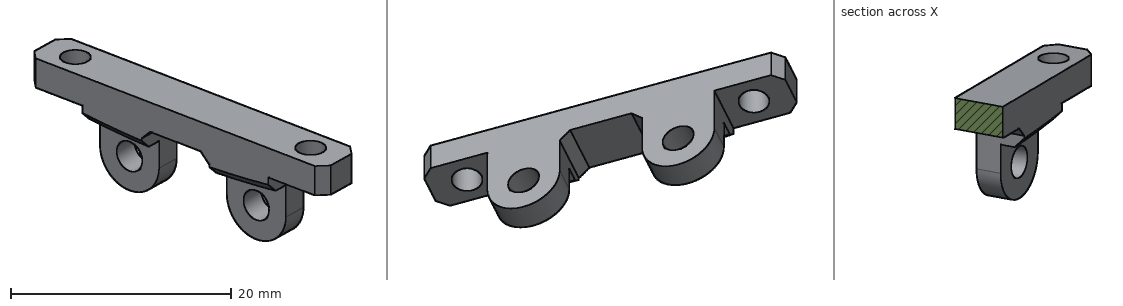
import cadquery as cq
import math

bar_length = 35.0
bar_depth = 5.0
bar_height = 3.0
corner_chamfer = 1.0
screw_hole_diameter = 2.8
screw_hole_spacing = 27.8

lug_spacing = 14.98
lug_radius = 3.5
lug_thickness = 2.52
pin_hole_diameter = 3.0
total_height = 11.5
pin_z = bar_height + lug_radius - total_height

arc_radius = 105.0
arc_lowest_z = -2.35
pad_chamfer = 1.0
gusset_size = 1.0

rear_y = bar_depth / 2
inner_x = lug_spacing / 2 - lug_radius
outer_x = lug_spacing / 2 + lug_radius


def arc_z(x):
    """Height of the pad underside at a given X."""
    return arc_lowest_z + arc_radius - math.sqrt(arc_radius**2 - x**2)


def make_bar():
    bar = cq.Workplane("XY").box(bar_length, bar_depth, bar_height, centered=(True, True, False))
    bar = bar.edges("|Z").chamfer(corner_chamfer)
    return (
        bar.faces(">Z").workplane()
        .rarray(screw_hole_spacing, 0.35, 2, 1)
        .hole(screw_hole_diameter)
    )


def make_pad():
    """Full-depth pad with a gusset on its inner side and a bevelled lower front edge."""
    middle_x = lug_spacing / 2
    pad = (
        cq.Workplane("XZ", origin=(0, rear_y, 0))
        .moveTo(inner_x - gusset_size, 0)
        .lineTo(inner_x, -gusset_size)
        .lineTo(inner_x, arc_z(inner_x))
        .threePointArc((middle_x, arc_z(middle_x)), (outer_x, arc_z(outer_x)))
        .lineTo(outer_x, 0)
        .close()
        .extrude(bar_depth)
    )
    return pad.faces("<Y").edges("%CIRCLE").chamfer(pad_chamfer)


def make_lug():
    """Round-ended plate reaching from the bar down past the pin axis."""
    center_x = lug_spacing / 2
    return (
        cq.Workplane("XZ", origin=(0, rear_y, 0))
        .moveTo(inner_x, 0)
        .lineTo(inner_x, pin_z)
        .threePointArc((center_x, pin_z - lug_radius), (outer_x, pin_z))
        .lineTo(outer_x, 0)
        .close()
        .pushPoints([(center_x, pin_z)])
        .circle(pin_hole_diameter / 2)
        .extrude(lug_thickness)
    )


hinge = make_pad().union(make_lug())
result = make_bar().union(hinge).union(hinge.mirror("YZ"))